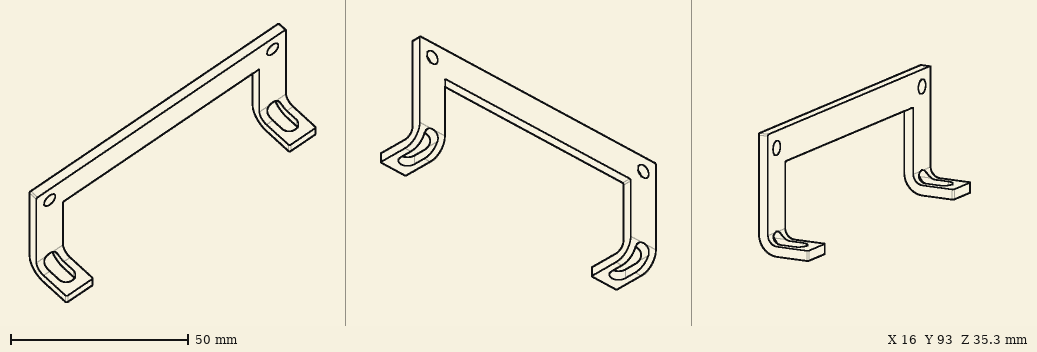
import cadquery as cq

length = 93.0
depth = 16.0
height = 35.25

thickness = 3.0
inner_bend_radius = thickness
outer_bend_radius = inner_bend_radius + thickness

leg_width = 9.95
bar_height = leg_width
corner_radius = 0.5

mount_hole_diameter = 4.2

slot_width = 5.2
slot_radius = slot_width / 2
slot_end_wall = 3.35
slot_end_center_x = depth - slot_end_wall - slot_radius
slot_bend_center_z = outer_bend_radius - slot_radius

leg_centers_y = [leg_width / 2, length - leg_width / 2]


def make_bent_sheet():
    """L-shaped sheet: upright plate along Z, foot along X, extruded along Y."""
    profile = (
        cq.Workplane("XZ")
        .polyline([
            (0, 0),
            (depth, 0),
            (depth, thickness),
            (thickness, thickness),
            (thickness, height),
            (0, height),
        ])
        .close()
        .extrude(-length)
    )
    outer_corner = cq.selectors.NearestToPointSelector((0, length / 2, 0))
    profile = profile.edges(outer_corner).fillet(outer_bend_radius)
    inner_corner = cq.selectors.NearestToPointSelector((thickness, length / 2, thickness))
    return profile.edges(inner_corner).fillet(inner_bend_radius)


def make_leg_gap():
    """Opening between the legs, with rounded upper corners."""
    gap = cq.Workplane("XY").box(
        depth, length - 2 * leg_width, height - bar_height, centered=False
    )
    return gap.edges("|X and >Z").fillet(corner_radius).translate((0, leg_width, 0))


def make_mount_hole(center_y):
    return (
        cq.Workplane("YZ")
        .center(center_y, height - bar_height / 2)
        .circle(mount_hole_diameter / 2)
        .extrude(thickness)
    )


def make_foot_slot(center_y):
    """Slot rounded at the foot end and at its upper end in the bend."""
    foot_end = (
        cq.Workplane("XY")
        .center(slot_end_center_x, center_y)
        .circle(slot_radius)
        .extrude(slot_bend_center_z)
    )
    straight = (
        cq.Workplane("XY")
        .box(slot_end_center_x, slot_width, slot_bend_center_z, centered=False)
        .translate((0, center_y - slot_radius, 0))
    )
    bend_end = (
        cq.Workplane("YZ")
        .center(center_y, slot_bend_center_z)
        .circle(slot_radius)
        .extrude(slot_end_center_x)
    )
    return straight.union(foot_end).union(bend_end)


bracket = make_bent_sheet()
bracket = bracket.cut(make_leg_gap())

bracket = bracket.edges("|X and >Z").fillet(corner_radius)
bracket = bracket.edges("|Z and >X").fillet(corner_radius)

for leg_y in leg_centers_y:
    bracket = bracket.cut(make_mount_hole(leg_y))
    bracket = bracket.cut(make_foot_slot(leg_y))

result = bracket